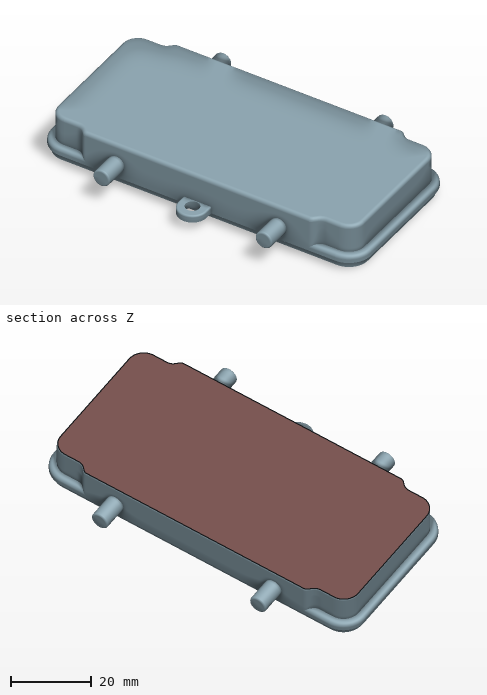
import cadquery as cq
import math

flange_length = 93.5
flange_width = 43.0
flange_corner_radius = 6.5
flange_bottom = 2.0
flange_top = 4.0
edge_radius = 1.0

step_inset = 1.0

lid_inset = 2.0
lid_top = 12.0
corner_flat = 4.0
inner_bend_radius = 2.5
outer_bend_radius = 1.5
ramp_angle = math.radians(45)

pin_diameter = 4.8
pin_spacing = 47.4
pin_span = 57.0
pin_height = 6.0
pin_tip_radius = 0.5

lug_radius = 4.1
lug_hole_diameter = 3.9
lug_centre_y = -23.7
lug_edge_radius = 0.5


def rounded_plate(inset, bottom, top):
    """Rectangular plate parallel to the flange outline, set in by the given amount."""
    return (
        cq.Workplane("XY", origin=(0, 0, bottom))
        .rect(flange_length - 2 * inset, flange_width - 2 * inset)
        .extrude(top - bottom)
        .edges("|Z")
        .fillet(flange_corner_radius - inset)
    )


def side_bulge():
    """Block that widens the middle of the lid to the flange, with S-shaped ends."""
    side_y = flange_width / 2
    wall_y = side_y - lid_inset
    sine = math.sin(ramp_angle)
    rise = 1 - math.cos(ramp_angle)
    half_sine = math.sin(ramp_angle / 2)
    half_rise = 1 - math.cos(ramp_angle / 2)
    ramp_depth = lid_inset - (inner_bend_radius + outer_bend_radius) * rise
    ramp_run = ramp_depth / math.tan(ramp_angle)

    foot_x = flange_length / 2 - flange_corner_radius - corner_flat
    ramp_start_x = foot_x - inner_bend_radius * sine
    ramp_end_x = ramp_start_x - ramp_run
    crest_x = ramp_end_x - outer_bend_radius * sine

    inner_mid = (foot_x - inner_bend_radius * half_sine, wall_y + inner_bend_radius * half_rise)
    ramp_start = (ramp_start_x, wall_y + inner_bend_radius * rise)
    ramp_end = (ramp_end_x, side_y - outer_bend_radius * rise)
    outer_mid = (crest_x + outer_bend_radius * half_sine, side_y - outer_bend_radius * half_rise)

    quarter = (
        cq.Workplane("XY", origin=(0, 0, flange_bottom))
        .lineTo(foot_x, 0)
        .lineTo(foot_x, wall_y)
        .threePointArc(inner_mid, ramp_start)
        .lineTo(*ramp_end)
        .threePointArc(outer_mid, (crest_x, side_y))
        .lineTo(0, side_y)
        .close()
        .extrude(lid_top - flange_bottom)
    )
    half = quarter.union(quarter.mirror("YZ"))
    return half.union(half.mirror("XZ"))


def lid():
    """Lid with its rounded top edge."""
    body = rounded_plate(lid_inset, flange_bottom, lid_top).union(side_bulge()).clean()
    return body.faces(">Z").edges().fillet(edge_radius)


def flange():
    """Rim with its rounded upper edge."""
    return rounded_plate(0, flange_bottom, flange_top).faces(">Z").edges().fillet(edge_radius)


def pin(x):
    """Pin running across the cover and standing out on both sides."""
    return (
        cq.Workplane("XZ", origin=(x, 0, pin_height))
        .circle(pin_diameter / 2)
        .extrude(pin_span / 2, both=True)
        .faces("<Y or >Y")
        .edges()
        .fillet(pin_tip_radius)
    )


def lug():
    """Round-ended lug reaching from inside the cover out past the flange."""
    return (
        cq.Workplane("XY", origin=(0, 0, flange_bottom))
        .moveTo(-lug_radius, 0)
        .lineTo(-lug_radius, lug_centre_y)
        .threePointArc((0, lug_centre_y - lug_radius), (lug_radius, lug_centre_y))
        .lineTo(lug_radius, 0)
        .close()
        .extrude(flange_top - flange_bottom)
        .faces(">Z")
        .edges()
        .fillet(lug_edge_radius)
    )


def lug_hole():
    """Cutter for the through hole in the lug."""
    return (
        cq.Workplane("XY", origin=(0, lug_centre_y, flange_bottom))
        .circle(lug_hole_diameter / 2)
        .extrude(flange_top - flange_bottom)
    )


result = rounded_plate(step_inset, 0, flange_bottom).union(flange()).union(lid())
for side in (-1, 1):
    result = result.union(pin(side * pin_spacing / 2))
result = result.union(lug()).cut(lug_hole()).clean()